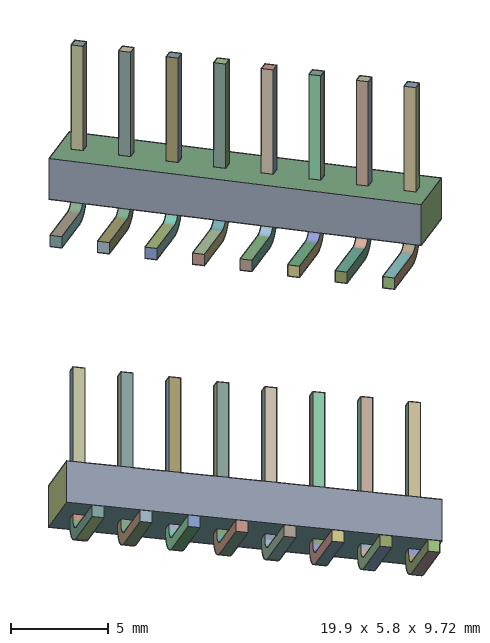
import cadquery as cq

housing_length = 19.91
housing_depth = 3.55
housing_height = 2.29

pin_count = 8
row_end_margin = 1.05
pin_pitch = (housing_length - 2 * row_end_margin) / (pin_count - 1)
pin_width = 0.64
pin_rise = 5.83
tail_drop = 1.6
tail_reach = 2.25
bend_radius = 2 * pin_width

pin_half = pin_width / 2
pin_top = housing_height + pin_rise
tail_end = -housing_depth / 2 - tail_reach
bend_center_y = pin_half - bend_radius
bend_center_z = bend_radius - tail_drop


def make_housing():
    return cq.Workplane("XY").box(
        housing_length, housing_depth, housing_height, centered=(True, True, False)
    )


def make_pin(x):
    """Pin centred at x: sweeps a square along a vertical leg, a 90 degree bend and a tail toward -Y."""
    centerline_radius = bend_radius - pin_half
    centerline_z = pin_half - tail_drop
    path = (
        cq.Workplane("YZ", origin=(x, 0, 0))
        .moveTo(0, pin_top)
        .lineTo(0, bend_center_z)
        .radiusArc((bend_center_y, centerline_z), centerline_radius)
        .lineTo(tail_end, centerline_z)
    )
    return cq.Workplane("XY", origin=(x, 0, pin_top)).rect(pin_width, pin_width).sweep(path)


result = make_housing()
for index in range(pin_count):
    pin_x = (index - (pin_count - 1) / 2) * pin_pitch
    result = result.union(make_pin(pin_x))